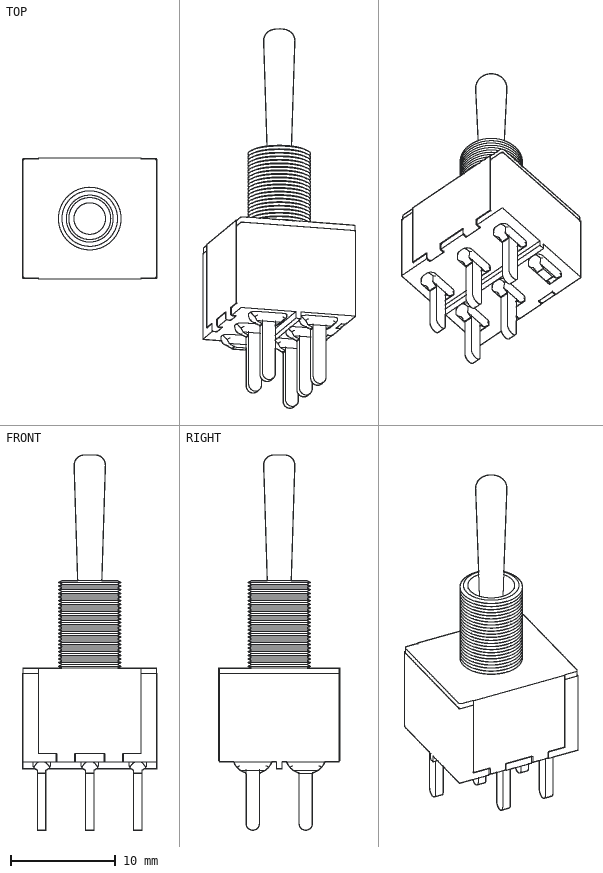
import cadquery as cq
import math


BASE_X = 12.8
BASE_Y = 11.45
BASE_BOTTOM = 6.53
BASE_TOP = 14.95
BASE_EDGE_RADIUS = 0.07
RIB_WIDTH = 0.55
RIB_DROP = 0.65

FRAME_X = 12.75
FRAME_TOP = 15.5
FRAME_Y = 11.6
FRAME_CORNER_RADIUS = 0.3
SIDE_PLATE_WIDTH = 9.83
SIDE_PLATE_THICKNESS = FRAME_TOP - BASE_TOP
SIDE_PLATE_BOTTOM = 7.3
TAB_WIDTH = 1.65
TAB_OFFSET = 2.3
TAB_ROOT_RADIUS = 0.07
TAB_EDGE_RADIUS = 0.2
TAB_CLEARANCE = 0.09

BUSHING_TOP = 23.85
THREAD_CREST_DIAMETER = 6.0
THREAD_ROOT_DIAMETER = 5.3
THREAD_TURNS = 24
BORE_DIAMETER = 4.5

LEVER_TOP = 35.85
HEAD_DIAMETER = 3.0
HEAD_RADIUS = 1.0
NECK_DIAMETER = 2.33
NECK_Z = BUSHING_TOP
BALL_DIAMETER = 4.0

TERMINAL_X = 0.82
TERMINAL_Y = 1.3
TERMINAL_PITCH_X = 4.6
TERMINAL_PITCH_Y = 5.05
BOSS_X = 1.65
BOSS_Y = 3.65
BOSS_DROP = 1.1
BOSS_CORNER_RADIUS = 0.6
BOSS_SHOULDER_DROP = 0.8
BOSS_SHOULDER_BULGE = 0.18
BOSS_END_DROP = 1.05
BOSS_END_BULGE = 0.18
BOSS_END_MARGIN = 0.07

ROW_Y = TERMINAL_PITCH_Y / 2
BOSS_POINTS = [(column * TERMINAL_PITCH_X, row * ROW_Y) for row in (-1, 1) for column in (-1, 0, 1)]
TERMINAL_POINTS = BOSS_POINTS[:-1]


def block(size_x, size_y, bottom, top):
    """Box centred on the Z axis between two heights."""
    return cq.Workplane("XY").workplane(offset=bottom).rect(size_x, size_y).extrude(top - bottom)


def bulged_middle(start, end, bulge):
    """Middle of an arc from start to end that bows outward (right, down) by the bulge."""
    run = end[0] - start[0]
    drop = end[1] - start[1]
    length = math.hypot(run, drop)
    return (
        (start[0] + end[0]) / 2 - drop / length * bulge,
        (start[1] + end[1]) / 2 + run / length * bulge,
    )


def make_domed_bar(plane, top_width, tip_width, dome_drop, bulge, length):
    """Bar with arched sides that meet a straight tip, hanging below the origin."""
    top = (top_width / 2, 0)
    shoulder = (tip_width / 2, -dome_drop)
    middle = bulged_middle(top, shoulder, bulge)
    return (
        cq.Workplane(plane)
        .moveTo(-top[0], 0)
        .lineTo(*top)
        .threePointArc(middle, shoulder)
        .lineTo(shoulder[0], -BOSS_DROP)
        .lineTo(-shoulder[0], -BOSS_DROP)
        .lineTo(-shoulder[0], -dome_drop)
        .threePointArc((-middle[0], middle[1]), (-top[0], 0))
        .close()
        .extrude(length / 2, both=True)
    )


def make_boss():
    """Boss domed in both directions, hanging below the origin."""
    plan = block(BOSS_X, BOSS_Y, -BOSS_DROP, 0).edges("|Z").fillet(BOSS_CORNER_RADIUS)
    tip_y = TERMINAL_Y + BOSS_END_MARGIN
    across = make_domed_bar("XZ", BOSS_X, TERMINAL_X, BOSS_SHOULDER_DROP, BOSS_SHOULDER_BULGE, BOSS_Y)
    along = make_domed_bar("YZ", BOSS_Y, tip_y, BOSS_END_DROP, BOSS_END_BULGE, BOSS_X)
    return plan.intersect(across).intersect(along)


def make_side_recess():
    """Space in the base for both side plates, with clearance beside the tabs."""
    recess = block(SIDE_PLATE_WIDTH, FRAME_Y, SIDE_PLATE_BOTTOM, BASE_TOP)
    for side in (-1, 1):
        notch = block(TAB_WIDTH + 2 * TAB_CLEARANCE, FRAME_Y, BASE_BOTTOM, SIDE_PLATE_BOTTOM)
        recess = recess.union(notch.translate((side * TAB_OFFSET, 0, 0)))
    core = block(BASE_X, FRAME_Y - 2 * SIDE_PLATE_THICKNESS, BASE_BOTTOM, BASE_TOP)
    return recess.cut(core)


def make_base():
    base = block(BASE_X, BASE_Y, BASE_BOTTOM, BASE_TOP).edges("|Z").fillet(BASE_EDGE_RADIUS)
    base = base.cut(make_side_recess())
    base = base.union(block(BASE_X, RIB_WIDTH, BASE_BOTTOM - RIB_DROP, BASE_BOTTOM))
    boss = make_boss()
    for x, y in BOSS_POINTS:
        base = base.union(boss.translate((x, y, BASE_BOTTOM)))
    socket = block(TERMINAL_X, TERMINAL_Y, BASE_BOTTOM - BOSS_DROP, BASE_BOTTOM)
    for x, y in TERMINAL_POINTS:
        base = base.cut(socket.translate((x, y, 0)))
    return base


def make_bushing():
    """Bushing with ring-shaped thread grooves, solid inside."""
    crest = THREAD_CREST_DIAMETER / 2
    root = THREAD_ROOT_DIAMETER / 2
    pitch = (BUSHING_TOP - FRAME_TOP) / THREAD_TURNS
    profile = cq.Workplane("XZ").moveTo(0, FRAME_TOP).lineTo(root, FRAME_TOP)
    for turn in range(THREAD_TURNS):
        profile = profile.lineTo(crest, FRAME_TOP + (turn + 0.5) * pitch)
        profile = profile.lineTo(root, FRAME_TOP + (turn + 1) * pitch)
    return profile.lineTo(0, BUSHING_TOP).close().revolve(360, (0, 0, 0), (0, 1, 0))


def make_side_plates():
    """Both side plates, with rounded tab roots and tab edges."""
    plates = block(SIDE_PLATE_WIDTH, FRAME_Y, SIDE_PLATE_BOTTOM, FRAME_TOP)
    for side in (-1, 1):
        tab = block(TAB_WIDTH, FRAME_Y, BASE_BOTTOM, SIDE_PLATE_BOTTOM)
        tab = tab.faces("<Z").edges("|X").fillet(TAB_EDGE_RADIUS)
        plates = plates.union(tab.translate((side * TAB_OFFSET, 0, 0)))
    for root_x in [side * TAB_OFFSET + end * TAB_WIDTH / 2 for side in (-1, 1) for end in (-1, 1)]:
        corner = cq.selectors.NearestToPointSelector((root_x, 0, SIDE_PLATE_BOTTOM))
        plates = plates.edges("|Y").edges(corner).fillet(TAB_ROOT_RADIUS)
    return plates.cut(block(FRAME_X, FRAME_Y - 2 * SIDE_PLATE_THICKNESS, BASE_BOTTOM, BASE_TOP))


def make_frame():
    frame = block(FRAME_X, BASE_Y, BASE_TOP, FRAME_TOP).edges("|Z").fillet(FRAME_CORNER_RADIUS)
    frame = frame.union(make_side_plates()).union(make_bushing())
    bore = cq.Workplane("XY").workplane(offset=BASE_TOP).circle(BORE_DIAMETER / 2)
    return frame.cut(bore.extrude(BUSHING_TOP - BASE_TOP))


def make_lever():
    """Tapered lever with a rounded head, on a ball that rests on the base."""
    ball_z = BASE_TOP + BALL_DIAMETER / 2
    head_z = LEVER_TOP - HEAD_RADIUS
    slope = (HEAD_DIAMETER - NECK_DIAMETER) / 2 / (head_z - NECK_Z)
    foot_radius = NECK_DIAMETER / 2 - slope * (NECK_Z - ball_z)
    flat_radius = HEAD_DIAMETER / 2 - HEAD_RADIUS
    arc_step = HEAD_RADIUS * math.sqrt(0.5)
    shaft = (
        cq.Workplane("XZ")
        .moveTo(0, ball_z)
        .lineTo(foot_radius, ball_z)
        .lineTo(HEAD_DIAMETER / 2, head_z)
        .threePointArc((flat_radius + arc_step, head_z + arc_step), (flat_radius, LEVER_TOP))
        .lineTo(0, LEVER_TOP)
        .close()
        .revolve(360, (0, 0, 0), (0, 1, 0))
    )
    ball = cq.Workplane("XY").sphere(BALL_DIAMETER / 2).translate((0, 0, ball_z))
    return shaft.union(ball)


def make_terminal(x, y):
    """Flat terminal with a fully rounded tip."""
    tip = TERMINAL_Y / 2
    blade = block(TERMINAL_X, TERMINAL_Y, tip, BASE_BOTTOM)
    end = cq.Workplane("YZ").center(0, tip).circle(tip).extrude(TERMINAL_X / 2, both=True)
    return blade.union(end).translate((x, y, 0))


base = make_base()
frame = make_frame()
lever = make_lever()
terminals = [make_terminal(x, y) for x, y in TERMINAL_POINTS]

result = cq.Compound.makeCompound(
    [base.val(), frame.val(), lever.val(), *[terminal.val() for terminal in terminals]]
)